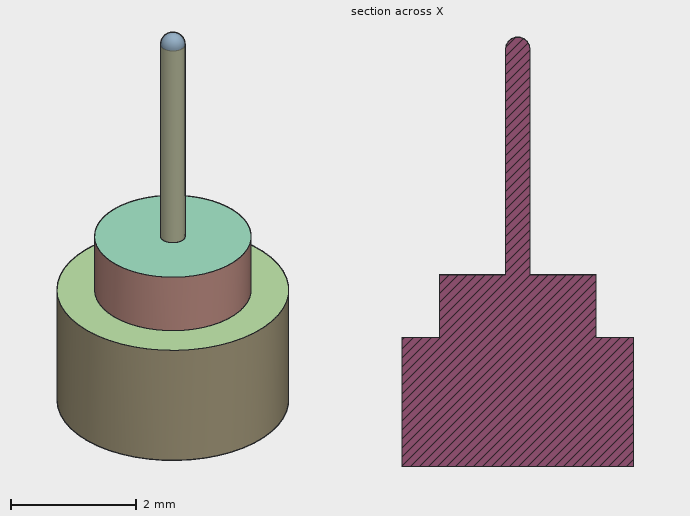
import cadquery as cq

total_height = 6.85

base_diameter = 3.7
base_height = 2.06
collar_diameter = 2.5
collar_height = 1.0

pin_diameter = 0.4
pin_radius = pin_diameter / 2
body_height = base_height + collar_height
pin_straight_length = total_height - body_height - pin_radius


def make_body():
    """Wide base with a narrower concentric collar on top."""
    base = cq.Workplane("XY").circle(base_diameter / 2).extrude(base_height)
    return base.faces(">Z").workplane().circle(collar_diameter / 2).extrude(collar_height)


def make_pin():
    """Half profile of the pin revolved about the Z axis."""
    tip_start = body_height + pin_straight_length
    return (
        cq.Workplane("XZ")
        .moveTo(0, base_height)
        .lineTo(pin_radius, base_height)
        .lineTo(pin_radius, tip_start)
        .radiusArc((0, total_height), -pin_radius)
        .close()
        .revolve(360, (0, 0, 0), (0, 1, 0))
    )


result = make_body().union(make_pin())